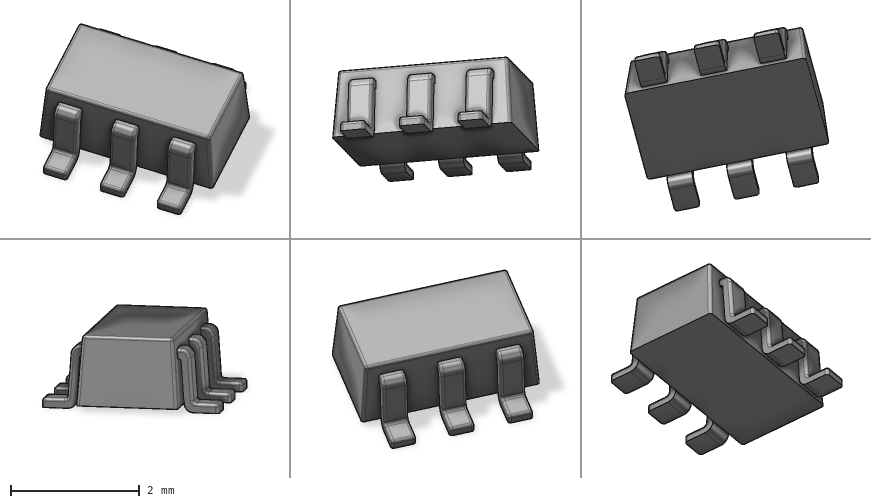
import cadquery as cq
import math


housing_length = 2.9
housing_width = 1.6
lead_span = 2.8
total_height = 1.2

standoff = 0.1
draft_angle = 4.0
edge_radius = 0.05
housing_height = total_height - standoff

leads_per_side = 3
lead_pitch = 0.95
lead_width = 0.4
lead_thickness = 0.15
lead_top = 1.0
leg_gap = 0.052
inside_bend_radius = 0.05
outside_bend_radius = 0.15

draft_slope = math.tan(math.radians(draft_angle))
leg_thickness_along_y = lead_thickness / math.cos(math.radians(draft_angle))
half_span = lead_span / 2


def housing_side_y(z):
    """Distance of the drafted long side of the housing from the XZ plane, at height z."""
    return housing_width / 2 - (z - standoff) * draft_slope


def leg_inner_y(z):
    """Y of the leg face that looks at the housing, at height z."""
    return housing_side_y(z) + leg_gap


def leg_outer_y(z):
    """Y of the leg face that looks away from the housing, at height z."""
    return leg_inner_y(z) + leg_thickness_along_y


def make_housing():
    """Drafted block, rounded on its top rim and its four corner edges."""
    block = (
        cq.Workplane("XY", origin=(0, 0, standoff))
        .rect(housing_length, housing_width)
        .extrude(housing_height, taper=draft_angle)
    )
    return block.edges("not <Z").fillet(edge_radius)


def round_corners(body, corners, radius):
    """Round the edges along X that pass through the given (y, z) corners."""
    for y, z in corners:
        body = body.edges(cq.NearestToPointSelector((0, y, z))).fillet(radius)
    return body


def make_lead():
    """Gull-wing lead on the +Y side, centred on X = 0, ending flush on the housing side."""
    shoulder_bottom = lead_top - lead_thickness
    foot_top = lead_thickness

    shoulder_corner = (leg_outer_y(lead_top), lead_top)
    under_shoulder_corner = (leg_inner_y(shoulder_bottom), shoulder_bottom)
    foot_corner = (leg_outer_y(foot_top), foot_top)
    heel_corner = (leg_inner_y(0), 0)
    outline = [
        (housing_side_y(lead_top), lead_top),
        shoulder_corner,
        foot_corner,
        (half_span, foot_top),
        (half_span, 0),
        heel_corner,
        under_shoulder_corner,
        (housing_side_y(shoulder_bottom), shoulder_bottom),
    ]
    lead = cq.Workplane("YZ").polyline(outline).close().extrude(lead_width / 2, both=True)
    lead = round_corners(lead, [shoulder_corner, heel_corner], outside_bend_radius)
    lead = round_corners(lead, [under_shoulder_corner, foot_corner], inside_bend_radius)

    foot_middle = ((foot_corner[0] + half_span) / 2, foot_top)
    tip_uprights = lead.faces(">Y").edges("|Z")
    foot_rim = lead.faces(cq.NearestToPointSelector((0, *foot_middle))).edges("not <Y")
    return tip_uprights.add(foot_rim).fillet(edge_radius)


def place_leads(lead):
    """Copies of the lead in two facing rows, each copy a separate solid."""
    first_x = -lead_pitch * (leads_per_side - 1) / 2
    copies = []
    for index in range(leads_per_side):
        x = first_x + index * lead_pitch
        for turn in (0, 180):
            copy = lead.rotate((0, 0, 0), (0, 0, 1), turn).translate((x, 0, 0))
            copies.append(copy.val())
    return copies


housing = make_housing()
leads = place_leads(make_lead())

result = cq.Compound.makeCompound([housing.val(), *leads])